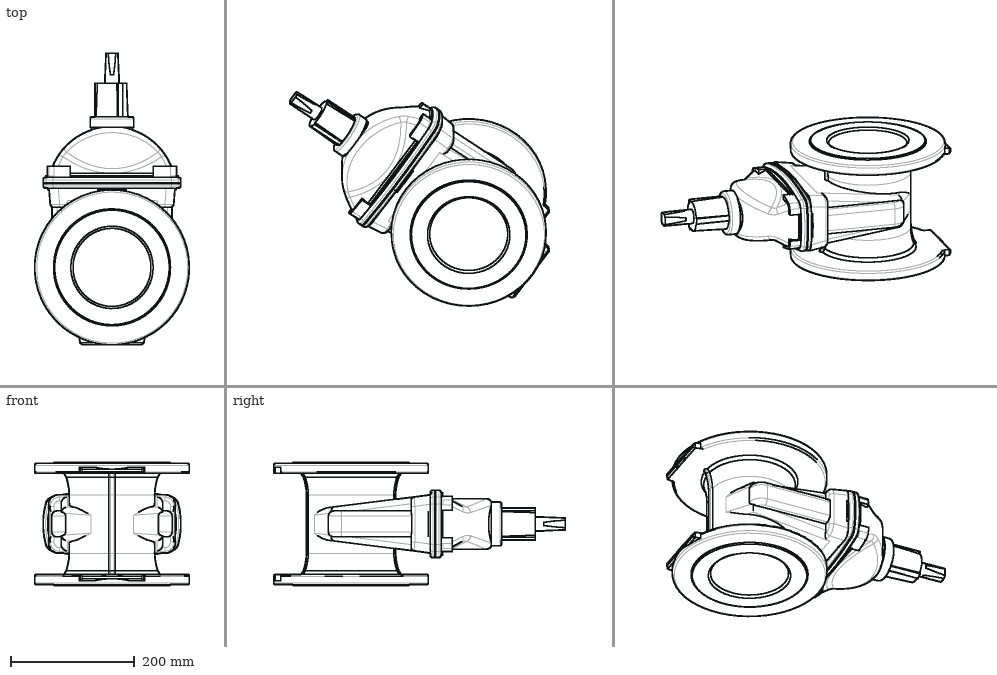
import cadquery as cq
import math


face_to_face = 200.0
flange_radius = 125.0
flange_outer_z = 98.0
flange_inner_z = 81.5
flange_edge_fillet = 3.0
raised_face_radius = 92.5
raised_face_bevel = 2.0
bore_mouth_radius = 66.5
bore_floor_radius = 63.0
bore_recess_depth = 4.0
pipe_radius = 69.0
pipe_half_length = 47.0
flare_end_radius = 74.0
flare_end_z = 75.5
flare_bulge = 1.0
flare_root_radius = 78.0

lug_half_width_outer = 51.0
lug_half_width_inner = 54.0
lug_inner_y = -108.0
lug_thickness = 10.0
lug_chamfer = 3.0
rib_height = 3.0
rib_half_width = 5.0
rib_edge_fillet = 2.4

housing_top_y = 128.0
housing_half_width = 82.0
housing_top_half_depth = 47.0
housing_end_half_depth = 23.5
housing_edge_fillet = 10.0
facet_angle = 60.0
guide_end_y = -36.5
guide_half_width = 97.0
guide_half_depth = 21.0
guide_corner_radius = 21.0
guide_edge_fillet = 8.0
neck_bottom_y = 97.0
neck_bottom_half_width = 99.5
neck_bottom_half_depth = 43.0
neck_top_half_width = 102.0
neck_top_half_depth = 47.2
neck_corner_radius = 15.0
neck_bottom_fillet = 6.0

joint_bottom_y = 128.0
joint_seam_y = 136.0
joint_top_y = 145.5
joint_half_width = 111.5
joint_half_depth = 55.0
joint_corner_x = 104.5
joint_corner_z = 42.0
joint_corner_radius = 16.0
joint_edge_fillet = 4.0
joint_seam_chamfer = 0.8
bonnet_pad_top_y = 148.0
body_pad_bottom_y = 125.0
body_pad_inset = 7.5
boss_top_y = 163.5
boss_inner_x = 67.0
boss_inner_z = 22.0
boss_inset = 4.5
boss_inner_fillet = 8.0

dome_radius = 103.5
dome_centre_y = 124.0
dome_half_depth = 41.0
dome_end_half_depth = 14.2
dome_edge_fillet = 9.5
skirt_half_depth = 43.0
skirt_slope_start_y = 152.0
skirt_slope_end_y = 208.0
skirt_slope_end_depth = 13.2
skirt_valley_fillet = 16.0

collar_radius = 71.0 / 2
collar_bottom_y = 205.0
collar_shoulder_y = 226.0
collar_neck_radius = 33.5
collar_top_y = 243.0
collar_fillet = 3.0
sleeve_bottom_radius = 26.0
sleeve_top_radius = 24.0
sleeve_top_y = 297.5
sleeve_rib_radius = 27.5
sleeve_rib_width = 9.0
sleeve_rib_angles = (180.0, 60.0, -60.0)
stem_radius = 23.0 / 2
stem_top_y = 346.0
stem_tip_half_square = 9.75
stem_flat_length = 35.0
stem_root_half_square = 11.2


def section_plane(y):
    """Plane across the stem axis; extrusions from it run along +Y."""
    return cq.Workplane(cq.Plane(origin=(0, y, 0), xDir=(1, 0, 0), normal=(0, 1, 0)))


def both_sides(solid):
    """The solid together with its mirror image across the mid-plane of the bore."""
    return solid.union(solid.mirror("XY"))


def disc_between(radius, start_y, end_y):
    return section_plane(start_y).circle(radius).extrude(end_y - start_y)


def pipe_with_flares(offset):
    """Pipe barrel with a curved flare at each end, grown outward by the offset."""
    mid_radius = (pipe_radius + flare_end_radius) / 2 - flare_bulge + offset
    mid_z = (pipe_half_length + flare_end_z) / 2
    half = (
        cq.Workplane("XZ")
        .moveTo(0, 0)
        .lineTo(pipe_radius + offset, 0)
        .lineTo(pipe_radius + offset, pipe_half_length)
        .threePointArc((mid_radius, mid_z), (flare_end_radius + offset, flare_end_z))
        .lineTo(flare_root_radius + offset, flange_inner_z)
        .lineTo(0, flange_inner_z)
        .close()
        .revolve(360, (0, 0, 0), (0, 1, 0))
    )
    return both_sides(half)


def casting_ribs():
    """Narrow round-edged ribs along the -Y and +Y sides of the pipe."""
    blade = (
        cq.Workplane("XY")
        .rect(2 * rib_half_width, 2 * (flare_root_radius + 2 * rib_height))
        .extrude(flange_inner_z, both=True)
    )
    long_edges = pipe_with_flares(rib_height).intersect(blade).faces("<X or >X").edges("not |Y")
    return long_edges.fillet(rib_edge_fillet)


def flanges():
    plate = (
        cq.Workplane("XY")
        .workplane(offset=flange_inner_z)
        .circle(flange_radius)
        .extrude(flange_outer_z - flange_inner_z)
        .edges()
        .fillet(flange_edge_fillet)
    )
    raised_face = (
        cq.Workplane("XY")
        .workplane(offset=flange_outer_z)
        .circle(raised_face_radius + raised_face_bevel)
        .workplane(offset=face_to_face / 2 - flange_outer_z)
        .circle(raised_face_radius)
        .loft(ruled=True)
    )
    lug = (
        cq.Workplane("XY")
        .workplane(offset=flange_inner_z)
        .polyline([
            (-lug_half_width_inner, lug_inner_y),
            (-lug_half_width_outer, -flange_radius),
            (lug_half_width_outer, -flange_radius),
            (lug_half_width_inner, lug_inner_y),
        ])
        .close()
        .extrude(lug_thickness)
        .faces("<Y")
        .edges()
        .chamfer(lug_chamfer)
    )
    return both_sides(plate.union(raised_face).union(lug))


def bore_recesses():
    recess = (
        cq.Workplane("XY")
        .workplane(offset=face_to_face / 2)
        .circle(bore_mouth_radius)
        .workplane(offset=-bore_recess_depth)
        .circle(bore_floor_radius)
        .loft(ruled=True)
    )
    return both_sides(recess)


def gate_housing():
    """Wedge-shaped chamber, shallower away from the bonnet, whose end facets are tangent to the pipe."""
    angle = math.radians(facet_angle)
    end_x = pipe_radius * math.cos(angle)
    end_y = -pipe_radius * math.sin(angle)
    side_end_y = end_y + (housing_half_width - end_x) / math.tan(angle)
    plan = (
        cq.Workplane("XY")
        .polyline([
            (-housing_half_width, housing_top_y),
            (-housing_half_width, side_end_y),
            (-end_x, end_y),
            (end_x, end_y),
            (housing_half_width, side_end_y),
            (housing_half_width, housing_top_y),
        ])
        .close()
        .extrude(housing_top_half_depth, both=True)
    )
    wedge = (
        cq.Workplane("YZ")
        .polyline([
            (housing_top_y, housing_top_half_depth),
            (end_y, housing_end_half_depth),
            (end_y, -housing_end_half_depth),
            (housing_top_y, -housing_top_half_depth),
        ])
        .close()
        .extrude(housing_half_width, both=True)
    )
    return plan.intersect(wedge).edges("not |Z").edges("not |X").fillet(housing_edge_fillet)


def gate_guides():
    """Rounded rail along each side of the body."""
    length = joint_bottom_y - guide_end_y
    return (
        cq.Workplane("XY")
        .center(0, guide_end_y + length / 2)
        .rect(2 * guide_half_width, length)
        .extrude(guide_half_depth, both=True)
        .edges("|Z and <Y")
        .fillet(guide_corner_radius)
        .faces("<Z or >Z")
        .edges("not >Y")
        .fillet(guide_edge_fillet)
    )


def housing_neck():
    return (
        section_plane(neck_bottom_y)
        .rect(2 * neck_bottom_half_width, 2 * neck_bottom_half_depth)
        .workplane(offset=joint_bottom_y - neck_bottom_y)
        .rect(2 * neck_top_half_width, 2 * neck_top_half_depth)
        .loft(ruled=True)
        .edges("not(|X or |Z)")
        .fillet(neck_corner_radius)
        .faces("<Y")
        .edges()
        .fillet(neck_bottom_fillet)
    )


def joint_block(start_y, end_y, inset=0):
    """Block with four gently bulging sides and rounded corners, set in from the joint rim."""
    half_width = joint_half_width - inset
    half_depth = joint_half_depth - inset
    corner_x = joint_corner_x - inset
    corner_z = joint_corner_z - inset
    return (
        section_plane(start_y)
        .moveTo(-corner_x, corner_z)
        .threePointArc((0, half_depth), (corner_x, corner_z))
        .threePointArc((half_width, 0), (corner_x, -corner_z))
        .threePointArc((0, -half_depth), (-corner_x, -corner_z))
        .threePointArc((-half_width, 0), (-corner_x, corner_z))
        .close()
        .extrude(end_y - start_y)
        .edges("|Y")
        .fillet(joint_corner_radius - inset)
    )


def joint_half(start_y, end_y, outer_face, seam_face):
    """Half of the joint flange, rounded outside and lightly chamfered at the seam."""
    return (
        joint_block(start_y, end_y)
        .faces(outer_face)
        .edges()
        .fillet(joint_edge_fillet)
        .faces(seam_face)
        .edges()
        .chamfer(joint_seam_chamfer)
    )


def joint_flange():
    body_half = joint_half(joint_bottom_y, joint_seam_y, "<Y", ">Y")
    bonnet_half = joint_half(joint_seam_y, joint_top_y, ">Y", "<Y")
    bonnet_pad = joint_block(joint_seam_y, bonnet_pad_top_y, boss_inset)
    body_pad = joint_block(body_pad_bottom_y, joint_seam_y, body_pad_inset)
    return body_half.union(bonnet_half).union(bonnet_pad).union(body_pad)


def bolt_bosses():
    """Boss at each corner of the joint flange, set in from its rim."""
    height = boss_top_y - joint_bottom_y
    inset_block = joint_block(joint_bottom_y, boss_top_y, boss_inset)
    size_x = joint_half_width - boss_inner_x
    size_z = joint_half_depth - boss_inner_z
    corners = (
        section_plane(joint_bottom_y)
        .rect(joint_half_width + boss_inner_x, joint_half_depth + boss_inner_z, forConstruction=True)
        .vertices()
        .rect(size_x, size_z)
        .extrude(height)
        .edges("|Y")
        .fillet(boss_inner_fillet)
    )
    return inset_block.intersect(corners)


def bonnet():
    """Round dome with a lens-shaped cross-section and a sloping skirt at its foot."""
    base_y = joint_bottom_y
    height = dome_centre_y + dome_radius - base_y
    lens = (
        section_plane(base_y)
        .moveTo(-dome_radius, -dome_end_half_depth)
        .threePointArc((0, -dome_half_depth), (dome_radius, -dome_end_half_depth))
        .lineTo(dome_radius, dome_end_half_depth)
        .threePointArc((0, dome_half_depth), (-dome_radius, dome_end_half_depth))
        .close()
        .extrude(height)
    )
    round_outline = (
        cq.Workplane("XY")
        .center(0, dome_centre_y)
        .circle(dome_radius)
        .extrude(joint_half_depth, both=True)
    )
    skirt = (
        cq.Workplane("YZ")
        .polyline([
            (base_y, skirt_half_depth),
            (skirt_slope_start_y, skirt_half_depth),
            (skirt_slope_end_y, skirt_slope_end_depth),
            (skirt_slope_end_y, -skirt_slope_end_depth),
            (skirt_slope_start_y, -skirt_half_depth),
            (base_y, -skirt_half_depth),
        ])
        .close()
        .extrude(dome_radius, both=True)
    )
    valleys = lens.union(skirt).edges("%ELLIPSE")
    dome = valleys.fillet(skirt_valley_fillet).intersect(round_outline)
    arched_edges = dome.edges("%BSPLINE")
    skirt_edges = dome.edges("%ELLIPSE").edges(">X or <X")
    rounded_dome = arched_edges.add(skirt_edges).fillet(dome_edge_fillet)
    return rounded_dome.intersect(joint_block(base_y, base_y + height, boss_inset))


def stem_collar():
    foot = disc_between(collar_neck_radius, collar_bottom_y, collar_shoulder_y)
    collar = disc_between(collar_radius, collar_shoulder_y, collar_top_y)
    return foot.union(collar.faces(">Y").edges().fillet(collar_fillet))


def stem_sleeve():
    """Tapered sleeve with three lengthwise ribs."""
    height = sleeve_top_y - collar_top_y
    sleeve = (
        section_plane(collar_top_y)
        .circle(sleeve_bottom_radius)
        .workplane(offset=height)
        .circle(sleeve_top_radius)
        .loft(ruled=True)
    )
    for angle in sleeve_rib_angles:
        rib = (
            section_plane(collar_top_y)
            .transformed(rotate=(0, 0, angle))
            .center(sleeve_rib_radius / 2, 0)
            .rect(sleeve_rib_radius, sleeve_rib_width)
            .extrude(height)
        )
        sleeve = sleeve.union(rib)
    return sleeve


def stem_square():
    """Round stem whose tip is tapered by four flats."""
    shaft = disc_between(stem_radius, sleeve_top_y, stem_top_y)
    flats_start_y = stem_top_y - stem_flat_length
    pyramid = (
        section_plane(flats_start_y)
        .rect(2 * stem_root_half_square, 2 * stem_root_half_square)
        .workplane(offset=stem_flat_length)
        .rect(2 * stem_tip_half_square, 2 * stem_tip_half_square)
        .loft(ruled=True)
    )
    lower = disc_between(stem_radius, sleeve_top_y, flats_start_y)
    return lower.union(shaft.intersect(pyramid))


result = pipe_with_flares(0)
for feature in (
    casting_ribs(),
    flanges(),
    gate_housing(),
    gate_guides(),
    housing_neck(),
    joint_flange(),
    bolt_bosses(),
    bonnet(),
    stem_collar(),
    stem_sleeve(),
    stem_square(),
):
    result = result.union(feature)
result = result.cut(bore_recesses())